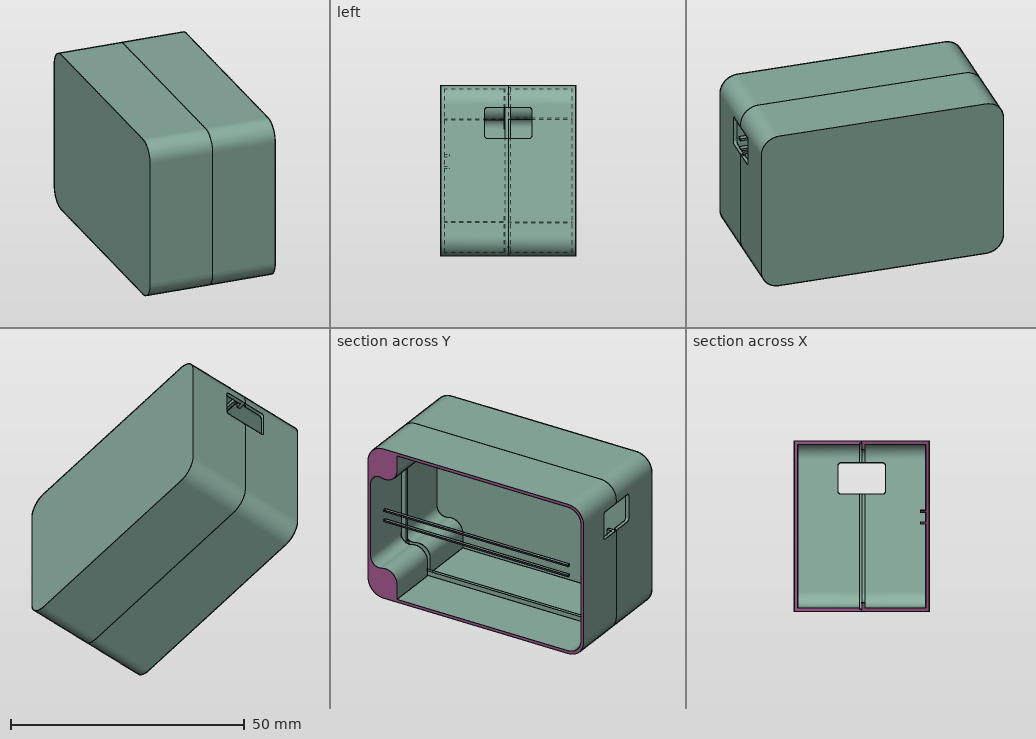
import cadquery as cq
import math

LENGTH = 54.4
DEPTH = 28.9
HEIGHT = 36.5
CORNER_RADIUS = 4.0
WALL = 0.8
HALF_DEPTH = DEPTH / 2
FLOOR_Y = HALF_DEPTH - WALL

REBATE_WALL = 0.5
REBATE_DEPTH = 0.46
LIP_WALL = 1.9
LIP_DEPTH = 0.7
REAR_POST_START = LIP_DEPTH + 0.2

FRONT_POST_DIAMETER = 5.75
REAR_POST_DIAMETER = 6.05
POST_INSET = 4.4
POST_X = LENGTH / 2 - POST_INSET
POST_Z = HEIGHT / 2 - POST_INSET
BLEND_RADIUS = 2.1
PAD_Z = POST_Z - FRONT_POST_DIAMETER / 2

OPENING_WIDTH = 10.15
OPENING_HEIGHT = 6.65
OPENING_Z = 10.2
OPENING_RADIUS = 0.65
OPENING_CUT_DEPTH = 3.0

RAIL_DEPTH = 1.13
RAIL_THICKNESS = 0.46
RAIL_GAP = 2.02
LOWER_RAIL_TOP = 0.92


def slab(inset, y_start, y_end):
    """Rounded block inset from the envelope, between two Y planes."""
    return (
        cq.Workplane("XZ", origin=(0, y_start, 0))
        .rect(LENGTH - 2 * inset, HEIGHT - 2 * inset)
        .extrude(y_start - y_end)
        .edges("|Y")
        .fillet(CORNER_RADIUS - inset)
    )


def box_between(x_range, y_range, z_range):
    """Block given by its limits along each axis."""
    limits = (x_range, y_range, z_range)
    sizes = [high - low for low, high in limits]
    middle = tuple((high + low) / 2 for low, high in limits)
    return cq.Workplane("XY").box(*sizes).translate(middle)


def corner_post(diameter, y_start, y_end):
    """Round-bottomed post in the upper +X corner, blended down to the end wall."""
    radius = diameter / 2
    wall_x = LENGTH / 2 - WALL
    blend_x = wall_x - BLEND_RADIUS
    reach = radius + BLEND_RADIUS
    blend_z = POST_Z - math.sqrt(reach**2 - (blend_x - POST_X) ** 2)
    slope = math.atan2(blend_z - POST_Z, blend_x - POST_X)
    tangent_point = (POST_X + radius * math.cos(slope), POST_Z + radius * math.sin(slope))
    blend_middle = (
        blend_x + BLEND_RADIUS * math.cos(math.pi / 4),
        blend_z + BLEND_RADIUS * math.sin(math.pi / 4),
    )
    post = (
        cq.Workplane("XZ", origin=(0, y_start, 0))
        .moveTo(POST_X - radius, HEIGHT / 2)
        .lineTo(POST_X - radius, POST_Z)
        .threePointArc((POST_X, POST_Z - radius), tangent_point)
        .threePointArc(blend_middle, (wall_x, blend_z))
        .lineTo(LENGTH / 2, blend_z)
        .lineTo(LENGTH / 2, HEIGHT / 2)
        .close()
        .extrude(y_start - y_end)
    )
    return post.intersect(slab(WALL / 2, y_start, y_end))


def add_posts(shell, diameter, y_start, y_end):
    """Join the upper post and its mirror image at the lower corner to a shell."""
    post = corner_post(diameter, y_start, y_end)
    return shell.union(post).union(post.mirror("XY"))


def corner_pads():
    """Pads that fill the front rebate over the two post corners."""
    corner = box_between((POST_X, LENGTH / 2), (-REBATE_DEPTH, 0), (PAD_Z, HEIGHT / 2))
    pad = slab(REBATE_WALL, -REBATE_DEPTH, 0).intersect(corner)
    return pad.union(pad.mirror("XY"))


def guide_rails():
    """Two parallel rails along X standing on the rear floor."""
    rail_length = LENGTH / 2 - CORNER_RADIUS
    rails = cq.Workplane("XY")
    for index in range(2):
        top = LOWER_RAIL_TOP + index * (RAIL_THICKNESS + RAIL_GAP)
        rail = box_between(
            (-rail_length, rail_length),
            (FLOOR_Y - RAIL_DEPTH, FLOOR_Y),
            (top - RAIL_THICKNESS, top),
        )
        rails = rails.add(rail)
    return rails.combine()


def connector_opening():
    """Rounded rectangular cutter through the -X wall, centred on the joint."""
    return (
        cq.Workplane("YZ", origin=(-LENGTH / 2, 0, OPENING_Z))
        .rect(OPENING_WIDTH, OPENING_HEIGHT)
        .extrude(OPENING_CUT_DEPTH)
        .edges("|X")
        .fillet(OPENING_RADIUS)
    )


def make_front_shell():
    """Half shell on the -Y side, with a rebate around its rim."""
    shell = slab(0, -HALF_DEPTH, 0).cut(slab(WALL, -FLOOR_Y, 0))
    shell = add_posts(shell, FRONT_POST_DIAMETER, -FLOOR_Y, -REBATE_DEPTH)
    shell = shell.cut(slab(REBATE_WALL, -REBATE_DEPTH, 0))
    return shell.cut(connector_opening())


def make_rear_shell():
    """Half shell on the +Y side, with an inward lip around its rim."""
    shell = slab(0, 0, HALF_DEPTH).cut(slab(WALL, LIP_DEPTH, FLOOR_Y))
    shell = shell.cut(slab(LIP_WALL, 0, LIP_DEPTH))
    shell = add_posts(shell, REAR_POST_DIAMETER, REAR_POST_START, FLOOR_Y)
    pads = corner_pads().cut(slab(LIP_WALL, -REBATE_DEPTH, 0))
    shell = shell.union(pads).union(guide_rails())
    return shell.cut(connector_opening())


front_shell = make_front_shell()
rear_shell = make_rear_shell()

result = cq.Compound.makeCompound([*front_shell.solids().vals(), *rear_shell.solids().vals()])